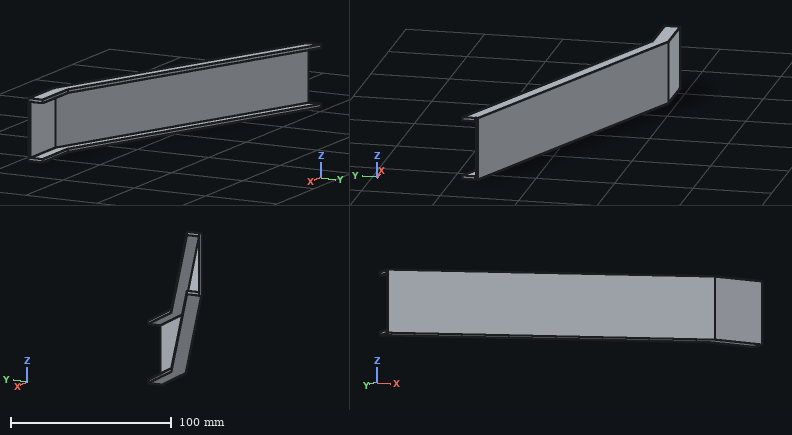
import cadquery as cq
import math

length = 222.5
depth = 89.2
height = 40.0

channel_depth = 10.0
web_thickness = 1.5
flange_thickness = 2.2

straight_length = 33.8
bend_x = length - straight_length
slope_rise = depth - channel_depth
slope_angle = math.atan2(slope_rise, bend_x)

front_path = [(0, slope_rise), (bend_x, 0), (length, 0)]

web_back_path = [
    (web_thickness * math.sin(slope_angle), slope_rise + web_thickness * math.cos(slope_angle)),
    (bend_x + web_thickness * math.tan(slope_angle / 2), web_thickness),
    (length, web_thickness),
]

flange_inner_path = [(0, slope_rise + web_thickness / math.cos(slope_angle))] + web_back_path[1:]
flange_outer_path = [(x, y + channel_depth) for x, y in front_path]


def plate(near_path, far_path, bottom, thickness):
    """Upright extrusion of the area between two paths along the channel."""
    return (
        cq.Workplane("XY")
        .workplane(offset=bottom)
        .polyline(near_path + far_path[::-1])
        .close()
        .extrude(thickness)
    )


result = plate(front_path, web_back_path, 0, height)
for flange_bottom in (0, height - flange_thickness):
    flange = plate(flange_inner_path, flange_outer_path, flange_bottom, flange_thickness)
    result = result.union(flange)